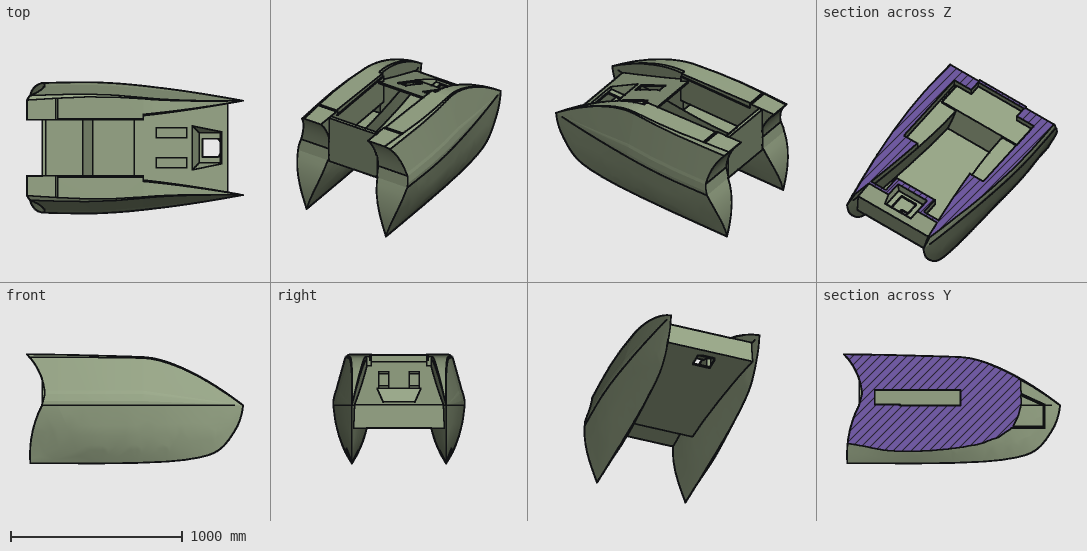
import cadquery as cq


LENGTH = 1261.66
HEIGHT = 638.29
BEAM = 767.7
KEEL_Y = 275.0
HALF_BREADTH = BEAM / 2 - KEEL_Y
SHEER_Z = 340.0

HATCH_AFT_X = 181.0
HATCH_FORE_X = 680.0
WIDEST_X = 380.0
INNER_WALL_Y = 163.0

HATCH_PARTS = 3
HATCH_STEP = (HATCH_FORE_X - HATCH_AFT_X) / HATCH_PARTS
HATCH_STATIONS = [HATCH_AFT_X + i * HATCH_STEP for i in range(HATCH_PARTS + 1)]
FORE_PARTS = 7
FORE_STEP = (LENGTH - HATCH_FORE_X) / FORE_PARTS
FORE_STATIONS = [HATCH_FORE_X + i * FORE_STEP for i in range(FORE_PARTS)]

LOWER_STATIONS = (
    (0, 0, 2, 0.38, 0.77),
    (190, 190, 0.8, 0.48, 0.82),
    (360, 360, 0.4, 0.54, 0.85),
    (510, 510, 1, 0.54, 0.85),
    (645, 645, 3.5, 0.54, 0.85),
    (800, 830, 12, 0.54, 0.84),
    (930, 985, 31, 0.53, 0.84),
    (1040, 1095, 64, 0.52, 0.83),
    (1130, 1170, 128, 0.51, 0.82),
    (1210, 1225, 212, 0.50, 0.82),
)

SHEER_DROP = 16.0
FORE_TOP_POWER = 1.58
SHEER_DROP_POWER = 1.5
BREADTH_POWER = 1.5
STERN_NARROWING = 9.0
RAIL_HEIGHT = 25.0
KNUCKLE_HEIGHT = 66.0
LEDGE_HEIGHT = 85.0
KNUCKLE_INSET = 9.0
LEDGE_INSET = 16.0
SIDE_SLOPE = 0.28
GUNWALE_WIDTH_AFT = 26.0
GUNWALE_WIDTH_FORE = 7.0
GUNWALE_DROP_AFT = 19.0
GUNWALE_DROP_FORE = 7.0
INNER_CHAMFER_WIDTH = 8.0
INNER_CHAMFER_DROP = 14.0

STERN_KEEL_X = 20.0
STERN_LOWER_ARC_POINT = (37.0, 205.0)
STERN_SHEER_X = 88.0
STERN_KNUCKLE_X = 106.0
STERN_KNUCKLE_Z = 408.0
STERN_UPPER_ARC_POINT = (83.0, 509.0)
CUT_MARGIN = 50.0

SEAM_WIDTH = 11.0
SEAM_DEPTH = 2.0
SEAM_OUTER_Y = 289.0
REBATE_WIDTH = 7.0
REBATE_DEPTH = 19.0
RECESS_TOP_Z = 428.0
RECESS_OUTER_Y = 285.0

BOARD_AFT_X = 90.0
BOARD_THICKNESS = 21.0
BOARD_TOP_Z = 634.0
FLOOR_UNDERSIDE_Z = 336.0
LOW_FLOOR_UNDERSIDE_Z = 207.0
FLOOR_STEP_X = 326.0
FLOOR_STEP_LENGTH = 59.0
PLATE_THICKNESS = 10.0
DECK_AFT_X = 626.0
DECK_AFT_Z = 594.0
DECK_FORE_X = 1173.0
DECK_FORE_Z = 344.0
PLATE_HALF_WIDTH = 270.0
BOARD_HALF_WIDTH = INNER_WALL_Y + 5

SLOT_AFT_X = 756.0
SLOT_LENGTH = 177.0
SLOT_WIDTH = 58.0
SLOT_CENTRE_Y = 88.0
POCKET_AFT_X = 966.0
POCKET_FORE_X = 1136.0
POCKET_AFT_HALF_WIDTH = 128.0
POCKET_FORE_HALF_WIDTH = 93.0
POCKET_FLOOR_AFT_X = 1005.0
POCKET_FLOOR_FORE_X = 1127.0
POCKET_FLOOR_HALF_WIDTH = 88.0
POCKET_FLOOR_Z = 350.0
WINDOW_AFT_X = 1025.0
WINDOW_HALF_WIDTH = 53.0
WINDOW_CORNER_RADIUS = 20.0


def fore_fraction(x):
    """0 at the fore end of the hatch, 1 at the bow."""
    return max(0.0, (x - HATCH_FORE_X) / (LENGTH - HATCH_FORE_X))


def half_breadth(x):
    """Half breadth of one hull at the sheer."""
    if x < WIDEST_X:
        return HALF_BREADTH - STERN_NARROWING * (1 - x / WIDEST_X) ** 2
    return HALF_BREADTH * (1 - ((x - WIDEST_X) / (LENGTH - WIDEST_X)) ** BREADTH_POWER)


def top_z(x):
    """Height of the top line."""
    aft_top = HEIGHT - SHEER_DROP * (min(x, HATCH_FORE_X) / HATCH_FORE_X) ** SHEER_DROP_POWER
    return aft_top - (HEIGHT - SHEER_DROP - SHEER_Z) * fore_fraction(x) ** FORE_TOP_POWER


def upper_section(x):
    """Outboard points of the +Y upper hull section, with its half breadth, top and taper towards the bow."""
    shrink = 1 - fore_fraction(x)
    aft = max(0.0, 1 - x / HATCH_FORE_X)
    breadth = half_breadth(x)
    top = top_z(x)
    sheer_y = KEEL_Y + breadth
    ledge_y = sheer_y - LEDGE_INSET * shrink
    ledge_z = SHEER_Z + LEDGE_HEIGHT * shrink
    gunwale_drop = (GUNWALE_DROP_FORE + (GUNWALE_DROP_AFT - GUNWALE_DROP_FORE) * aft) * shrink
    gunwale_width = (GUNWALE_WIDTH_FORE + (GUNWALE_WIDTH_AFT - GUNWALE_WIDTH_FORE) * aft) * shrink
    gunwale_z = top - gunwale_drop
    gunwale_y = ledge_y - SIDE_SLOPE * (gunwale_z - ledge_z)
    outboard = [
        (gunwale_y - gunwale_width, top),
        (gunwale_y, gunwale_z),
        (ledge_y, ledge_z),
        (sheer_y - KNUCKLE_INSET * shrink, SHEER_Z + KNUCKLE_HEIGHT * shrink),
        (sheer_y, SHEER_Z + RAIL_HEIGHT * shrink),
        (sheer_y, SHEER_Z),
    ]
    return outboard, breadth, top, shrink


def section_wire(x, points):
    return cq.Wire.makePolygon([cq.Vector(x, y, z) for y, z in points], close=True)


def straight_wire(x):
    """Section with the straight inboard wall, for the stern and the hatch."""
    outboard, _, top, _ = upper_section(x)
    return section_wire(x, [(INNER_WALL_Y, SHEER_Z), (INNER_WALL_Y, top)] + outboard)


def fore_wire(x):
    """Section with the inboard wall following the bow and a chamfered inboard edge."""
    outboard, breadth, top, shrink = upper_section(x)
    wall_y = KEEL_Y - breadth
    inboard = [
        (wall_y, SHEER_Z),
        (wall_y, top - INNER_CHAMFER_DROP * shrink),
        (wall_y + INNER_CHAMFER_WIDTH * shrink, top),
    ]
    return section_wire(x, inboard + outboard)


BOW = cq.Vertex.makeVertex(LENGTH, KEEL_Y, SHEER_Z)


def pointed_loft(wires):
    """Smooth solid through the sections, ending in the bow point."""
    return cq.occ_impl.shapes.loft(*wires, BOW, cap=True, compat=False, parametrization="chordal")


def upper_hull():
    stern = cq.Solid.makeLoft([straight_wire(0), straight_wire(HATCH_AFT_X)], True)
    hatch = cq.Solid.makeLoft([straight_wire(x) for x in HATCH_STATIONS])
    fore = pointed_loft([fore_wire(x) for x in FORE_STATIONS])
    return cq.Workplane(stern).union(cq.Workplane(hatch), clean=False).union(cq.Workplane(fore), clean=False)


def lower_wire(sheer_x, keel_x, keel_z, low_fullness, high_fullness):
    """V section from the keel to the sheer, in a plane that leans with the stem."""
    breadth = half_breadth(sheer_x)

    def side_points(sign):
        rises = ((0, 0), (1 / 3, low_fullness), (2 / 3, high_fullness), (1, 1))
        return [
            cq.Vector(
                keel_x + (sheer_x - keel_x) * rise,
                KEEL_Y + sign * breadth * fullness,
                keel_z + (SHEER_Z - keel_z) * rise,
            )
            for rise, fullness in rises
        ]

    outer = side_points(1)
    inner = side_points(-1)
    edges = [
        cq.Edge.makeSpline(outer),
        cq.Edge.makeLine(outer[-1], inner[-1]),
        cq.Edge.makeSpline(inner[::-1]),
    ]
    return cq.Wire.assembleEdges(edges)


def lower_hull():
    """Lower hull; sections stand upright aft and lean forward with the stem."""
    return cq.Workplane(pointed_loft([lower_wire(*station) for station in LOWER_STATIONS]))


def y_prism(sketch, half_width):
    """Extrude an XZ outline symmetrically about Y = 0."""
    return sketch.extrude(half_width, both=True)


def stern_cut():
    """Waste behind the S-shaped stern line."""
    outline = (
        cq.Workplane("XZ")
        .moveTo(-CUT_MARGIN, -CUT_MARGIN)
        .lineTo(STERN_KEEL_X, -CUT_MARGIN)
        .lineTo(STERN_KEEL_X, 0)
        .threePointArc(STERN_LOWER_ARC_POINT, (STERN_SHEER_X, SHEER_Z))
        .lineTo(STERN_KNUCKLE_X, STERN_KNUCKLE_Z)
        .threePointArc(STERN_UPPER_ARC_POINT, (0, HEIGHT))
        .lineTo(-CUT_MARGIN, HEIGHT)
        .close()
    )
    return y_prism(outline, BEAM)


def box(x_range, y_range, z_range):
    size = [high - low for low, high in (x_range, y_range, z_range)]
    return cq.Workplane("XY").box(*size, centered=False).translate((x_range[0], y_range[0], z_range[0]))


def hull():
    """Complete +Y hull with its stern line, hatch seam, side recess and hatch rebate."""
    body = lower_hull().union(upper_hull(), clean=False).cut(stern_cut(), clean=False)
    recess = box((HATCH_AFT_X, HATCH_FORE_X), (0, RECESS_OUTER_Y), (SHEER_Z, RECESS_TOP_Z))
    rebate = box((HATCH_AFT_X, HATCH_FORE_X), (0, INNER_WALL_Y + REBATE_WIDTH),
                 (top_z(HATCH_FORE_X) - REBATE_DEPTH, HEIGHT))
    seam = box((HATCH_AFT_X - SEAM_WIDTH, HATCH_AFT_X), (0, SEAM_OUTER_Y),
               (top_z(HATCH_AFT_X) - SEAM_DEPTH, HEIGHT))
    for waste in (seam, recess, rebate):
        body = body.cut(waste, clean=False)
    return body


def floor():
    """Aft floor, sloping step, low floor and bow panel as one bent plate."""
    step_end_x = FLOOR_STEP_X + FLOOR_STEP_LENGTH
    t = PLATE_THICKNESS
    low_top_z = LOW_FLOOR_UNDERSIDE_Z + t
    return y_prism(
        cq.Workplane("XZ").polyline([
            (BOARD_AFT_X, FLOOR_UNDERSIDE_Z),
            (FLOOR_STEP_X - t, FLOOR_UNDERSIDE_Z),
            (step_end_x - t, LOW_FLOOR_UNDERSIDE_Z),
            (DECK_FORE_X, LOW_FLOOR_UNDERSIDE_Z),
            (DECK_FORE_X, DECK_FORE_Z),
            (DECK_FORE_X - t, DECK_FORE_Z),
            (DECK_FORE_X - t, low_top_z),
            (step_end_x, low_top_z),
            (FLOOR_STEP_X, FLOOR_UNDERSIDE_Z + t),
            (BOARD_AFT_X, FLOOR_UNDERSIDE_Z + t),
        ]).close(),
        PLATE_HALF_WIDTH,
    )


def deck_z(x):
    """Height of the sloping deck surface."""
    return DECK_AFT_Z + (DECK_FORE_Z - DECK_AFT_Z) * (x - DECK_AFT_X) / (DECK_FORE_X - DECK_AFT_X)


def deck():
    """Sloping deck plate."""
    outline = [
        (DECK_AFT_X, DECK_AFT_Z),
        (DECK_FORE_X, DECK_FORE_Z),
        (DECK_FORE_X, DECK_FORE_Z - PLATE_THICKNESS),
        (DECK_AFT_X, DECK_AFT_Z - PLATE_THICKNESS),
    ]
    return y_prism(cq.Workplane("XZ").polyline(outline).close(), PLATE_HALF_WIDTH)


def pocket_housing():
    """Solid block under the deck that surrounds the pocket."""
    bottom_z = POCKET_FLOOR_Z - PLATE_THICKNESS
    aft_x = POCKET_AFT_X - PLATE_THICKNESS
    fore_x = POCKET_FORE_X + PLATE_THICKNESS
    outline = [(aft_x, bottom_z), (aft_x, deck_z(aft_x)), (fore_x, deck_z(fore_x)), (fore_x, bottom_z)]
    return y_prism(cq.Workplane("XZ").polyline(outline).close(), POCKET_AFT_HALF_WIDTH + PLATE_THICKNESS)


def trapezoid(aft, fore):
    """Closed outline symmetric about Y = 0 from its aft and fore corners on the +Y side."""
    aft_x, aft_y, aft_z = aft
    fore_x, fore_y, fore_z = fore
    corners = [
        cq.Vector(aft_x, aft_y, aft_z),
        cq.Vector(aft_x, -aft_y, aft_z),
        cq.Vector(fore_x, -fore_y, fore_z),
        cq.Vector(fore_x, fore_y, fore_z),
    ]
    return cq.Wire.makePolygon(corners, close=True)


def pocket():
    """Pocket with leaning aft and side walls, from its flat floor up to the sloping deck."""
    rim = trapezoid(
        (POCKET_AFT_X, POCKET_AFT_HALF_WIDTH, deck_z(POCKET_AFT_X)),
        (POCKET_FORE_X, POCKET_FORE_HALF_WIDTH, deck_z(POCKET_FORE_X)),
    )
    base = trapezoid(
        (POCKET_FLOOR_AFT_X, POCKET_FLOOR_HALF_WIDTH, POCKET_FLOOR_Z),
        (POCKET_FLOOR_FORE_X, POCKET_FLOOR_HALF_WIDTH, POCKET_FLOOR_Z),
    )
    return cq.Workplane(cq.Solid.makeLoft([base, rim], True))


def window():
    """Opening through the pocket floor and the low floor, rounded at the fore corners below the pocket."""
    y_range = (-WINDOW_HALF_WIDTH, WINDOW_HALF_WIDTH)
    x_range = (WINDOW_AFT_X, POCKET_FLOOR_FORE_X)
    upper = box(x_range, y_range, (POCKET_FLOOR_Z - 2 * PLATE_THICKNESS, POCKET_FLOOR_Z + PLATE_THICKNESS))
    lower = box(x_range, y_range, (LOW_FLOOR_UNDERSIDE_Z, POCKET_FLOOR_Z - PLATE_THICKNESS))
    return upper.union(lower.edges("|Z and >X").fillet(WINDOW_CORNER_RADIUS), clean=False)


def centre_structure():
    """Transom board, floor and deck between the hulls, with the deck openings."""
    board = box((BOARD_AFT_X, BOARD_AFT_X + BOARD_THICKNESS), (-BOARD_HALF_WIDTH, BOARD_HALF_WIDTH),
                (FLOOR_UNDERSIDE_Z, BOARD_TOP_Z))
    body = floor().union(board).union(deck()).union(pocket_housing())
    body = body.cut(pocket()).cut(window())
    for side in (-1, 1):
        slot_y = side * SLOT_CENTRE_Y
        body = body.cut(box(
            (SLOT_AFT_X, SLOT_AFT_X + SLOT_LENGTH),
            (slot_y - SLOT_WIDTH / 2, slot_y + SLOT_WIDTH / 2),
            (LOW_FLOOR_UNDERSIDE_Z + 2 * PLATE_THICKNESS, DECK_AFT_Z),
        ))
    return body


port_hull = hull()
centre = centre_structure()
result = centre.union(port_hull, clean=False).union(port_hull.mirror("XZ"), clean=False)